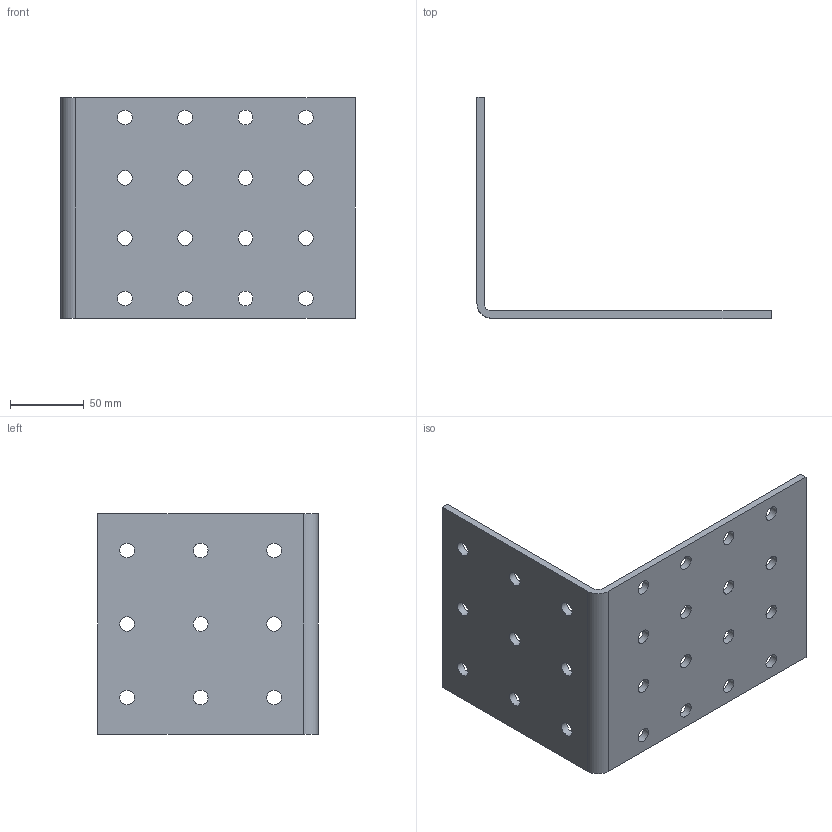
import cadquery as cq

length_x = 200.0
length_y = 150.0
height = 150.0
thickness = 5.0

outer_radius = 10.0
inner_radius = outer_radius - thickness

hole_diameter = 10.0

long_leg_columns = 4
long_leg_rows = 4
long_leg_pitch = 41.0
long_leg_first_x = 43.5

short_leg_columns = 3
short_leg_rows = 3
short_leg_pitch = 50.0
short_leg_first_y = 30.0


def bent_plate():
    """L-shaped plate with its outer corner edge on the Z axis before rounding."""
    long_leg = cq.Workplane("XY").box(length_x, thickness, height, centered=False)
    short_leg = cq.Workplane("XY").box(thickness, length_y, height, centered=False)
    plate = long_leg.union(short_leg)
    outer_corner = cq.NearestToPointSelector((0, 0, height / 2))
    inner_corner = cq.NearestToPointSelector((thickness, thickness, height / 2))
    plate = plate.edges("|Z").edges(outer_corner).fillet(outer_radius)
    return plate.edges("|Z").edges(inner_corner).fillet(inner_radius)


def hole_centres(first, pitch, columns, rows):
    """Grid points as (distance along the leg, height), centred in height."""
    first_z = (height - pitch * (rows - 1)) / 2
    return [
        (first + column * pitch, first_z + row * pitch)
        for column in range(columns)
        for row in range(rows)
    ]


def drills(plane, centres, direction):
    """Cylinders that pass through one leg, starting on its outer face."""
    return (
        cq.Workplane(plane)
        .pushPoints(centres)
        .circle(hole_diameter / 2)
        .extrude(direction * thickness)
    )


long_leg_centres = hole_centres(long_leg_first_x, long_leg_pitch, long_leg_columns, long_leg_rows)
short_leg_centres = hole_centres(short_leg_first_y, short_leg_pitch, short_leg_columns, short_leg_rows)

long_leg_drills = drills("XZ", long_leg_centres, -1)
short_leg_drills = drills("YZ", short_leg_centres, 1)

result = bent_plate().cut(long_leg_drills).cut(short_leg_drills)